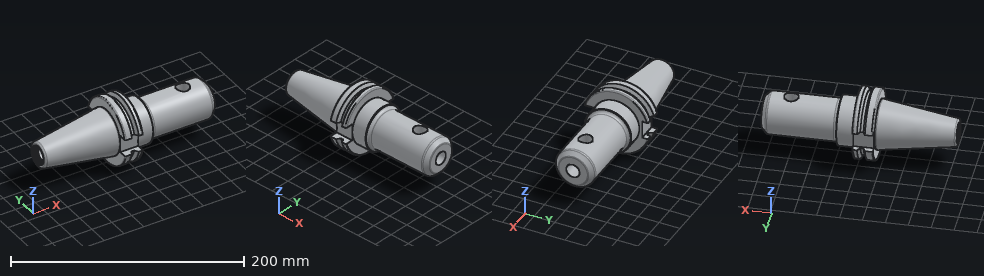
import cadquery as cq
import math

length = 169.8
taper_end = 68.1
flange_start = 69.1
flange_end = 87.3
groove_start = 76.0
groove_floor_start = 78.0
groove_floor_end = 80.7
groove_end = 82.9
collar_end = 103.0
shank_start = 106.0

gauge_diameter = 44.5
taper_ratio = 7 / 24
small_end_diameter = gauge_diameter - taper_end * taper_ratio
flange_diameter = 63.5
groove_floor_diameter = 56.0
collar_diameter = 44.5
shank_diameter = 38.0

small_end_rounding = 1.9
flange_rounding = 1.0
collar_chamfer = 0.5
nose_chamfer_length = 4.8
nose_chamfer_depth = 4.8
nose_blend = 2.0
nose_face_rounding = 1.4

through_bore_diameter = 12.7
mouth_diameter = 18.2
pilot_diameter = 16.8
seat_diameter = 15.8
mouth_depth = 0.7
pilot_depth = 2.0
seat_start = 3.0
seat_depth = 4.0

slot_width = 16.6
front_slot_floor = 22.6
back_slot_floor = 25.0

screw_hole_diameter = 12.7
screw_hole_x = 145.9


def cylinder(start, end, diameter):
    """Solid cylinder on the X axis."""
    return cq.Workplane("YZ").workplane(offset=start).circle(diameter / 2).extrude(end - start)


def make_taper():
    profile = [
        (0, 0),
        (0, small_end_diameter / 2),
        (taper_end, gauge_diameter / 2),
        (flange_start, gauge_diameter / 2),
        (flange_start, 0),
    ]
    taper = cq.Workplane("XY").polyline(profile).close().revolve(360, (0, 0), (1, 0))
    return taper.faces("<X").edges().fillet(small_end_rounding)


def make_flange():
    flange = cylinder(flange_start, flange_end, flange_diameter)
    flange = flange.edges("%CIRCLE").fillet(flange_rounding)
    rim = flange_diameter / 2
    groove_floor = groove_floor_diameter / 2
    groove_profile = [
        (groove_start, rim),
        (groove_floor_start, groove_floor),
        (groove_floor_end, groove_floor),
        (groove_end, rim),
    ]
    groove = cq.Workplane("XY").polyline(groove_profile).close().revolve(360, (0, 0), (1, 0))
    return flange.cut(groove)


def make_collar_and_shank():
    collar = cylinder(flange_end, collar_end, collar_diameter)
    collar = collar.faces(">X").edges().chamfer(collar_chamfer)
    shank_radius = shank_diameter / 2
    nose_radius = shank_radius - nose_chamfer_depth
    blend_length = shank_start - collar_end
    blend_top = collar_diameter / 2 - collar_chamfer
    blend_height = blend_top - shank_radius
    blend_radius = (blend_length**2 + blend_height**2) / (2 * blend_height)
    half_angle = math.asin(blend_length / blend_radius) / 2
    blend_middle = (
        shank_start - blend_radius * math.sin(half_angle),
        shank_radius + blend_radius * (1 - math.cos(half_angle)),
    )
    shank = (
        cq.Workplane("XY")
        .moveTo(flange_end, 0)
        .lineTo(flange_end, blend_top)
        .lineTo(collar_end, blend_top)
        .threePointArc(blend_middle, (shank_start, shank_radius))
        .lineTo(length - nose_chamfer_length, shank_radius)
        .lineTo(length, nose_radius)
        .lineTo(length, 0)
        .close()
        .revolve(360, (0, 0), (1, 0))
    )
    shank = shank.faces(">X").edges().fillet(nose_face_rounding)
    shoulder_point = (length - nose_chamfer_length, 0, 0)
    shank = shank.edges(cq.selectors.NearestToPointSelector(shoulder_point)).fillet(nose_blend)
    return collar.union(shank)


def make_bores():
    """Through bore with a stepped, flat-bottomed counterbore at the small end."""
    counterbore_profile = [
        (0, 0),
        (0, mouth_diameter / 2),
        (mouth_depth, pilot_diameter / 2),
        (pilot_depth, pilot_diameter / 2),
        (seat_start, seat_diameter / 2),
        (seat_depth, seat_diameter / 2),
        (seat_depth, 0),
    ]
    counterbore = cq.Workplane("XY").polyline(counterbore_profile).close().revolve(360, (0, 0), (1, 0))
    return cylinder(0, length, through_bore_diameter).union(counterbore)


def make_drive_slot(floor, side):
    """Slot cutter across the flange; side is +1 toward +Y and -1 toward -Y."""
    flange_width = flange_end - flange_start
    depth = flange_diameter / 2 - floor
    center = ((flange_start + flange_end) / 2, side * (floor + depth / 2), 0)
    return cq.Workplane("XY").box(flange_width, depth, slot_width).translate(center)


def make_screw_hole():
    """Radial hole from the top of the shank into the through bore."""
    hole = cq.Workplane("XY").center(screw_hole_x, 0).circle(screw_hole_diameter / 2)
    return hole.extrude(shank_diameter / 2)


result = make_taper().union(make_flange()).union(make_collar_and_shank())
result = result.cut(make_bores())
result = result.cut(make_drive_slot(front_slot_floor, -1))
result = result.cut(make_drive_slot(back_slot_floor, 1))
result = result.cut(make_screw_hole())